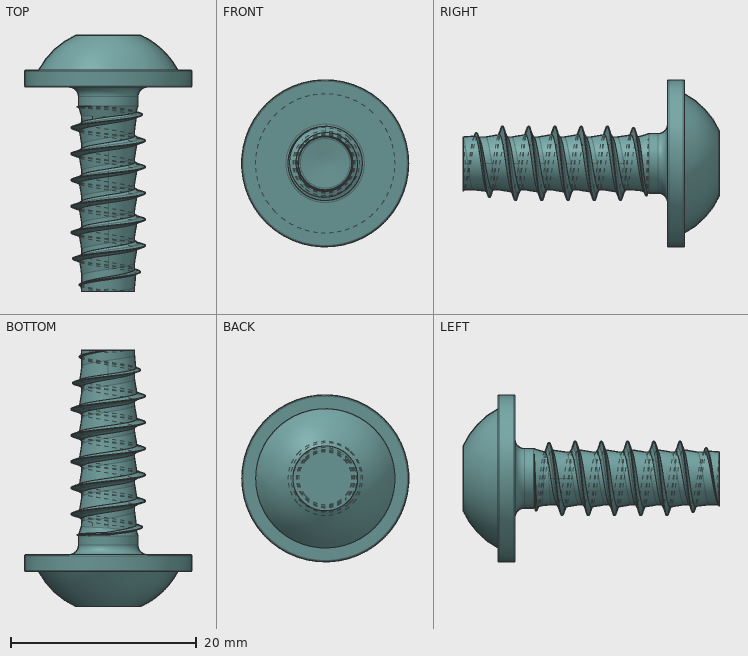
import math

import cadquery as cq


HEAD_HEIGHT = 5.6
FLANGE_RADIUS = 9.0
FLANGE_THICKNESS = 1.85
FLANGE_EDGE_ROUND = 0.15
DOME_SPHERE_RADIUS = 8.5
DOME_BASE_RADIUS = 7.5

SHANK_LENGTH = 22.0
NECK_RADIUS = 3.22
NECK_END_DEPTH = 2.0
NECK_FILLET = 1.0
CORE_RADIUS = 2.85
CORE_START_DEPTH = 3.2

DIMPLE_RADIUS = 2.67
DIMPLE_DEPTH = 0.25

PITCH = 2.825
CREST_RADIUS = 4.0
CREST_WIDTH = 0.08
HEAD_FLANK_KNEE_RADIUS = 3.3
HEAD_FLANK_KNEE_OFFSET = 0.24
HEAD_FLANK_ROOT_OFFSET = 0.54
TIP_FLANK_FOOT_RADIUS = 3.1
TIP_FLANK_FOOT_OFFSET = 0.34
ROOT_TAPER_END_OFFSET = 2.14
ROOT_EMBED = 0.05

THREAD_START_DEPTH = 2.23
RAMP_UP_TURNS = 0.75
RAMP_DOWN_TURNS = 1.5
THREAD_TURNS = (SHANK_LENGTH - THREAD_START_DEPTH) / PITCH
START_HEIGHT = 0.6
END_HEIGHT = 0.1

RUN_IN_TURNS = 0.4
RUN_IN_HEIGHT = 0.35
RUN_IN_DEPTH = NECK_END_DEPTH + CREST_WIDTH / 2

RAIL_POINTS_PER_TURN = 24
MIN_RAIL_STEPS = 4


def make_blank():
    """Head, flange, neck and plain core as one revolved body."""
    dome_center = FLANGE_THICKNESS - math.sqrt(DOME_SPHERE_RADIUS**2 - DOME_BASE_RADIUS**2)

    def dome_radius(height):
        return math.sqrt(DOME_SPHERE_RADIUS**2 - (height - dome_center) ** 2)

    dome_middle_height = (HEAD_HEIGHT + FLANGE_THICKNESS) / 2
    dome_middle = (dome_radius(dome_middle_height), dome_middle_height)
    edge = FLANGE_EDGE_ROUND
    fillet_middle = NECK_FILLET * (1 - math.sqrt(0.5))

    outline = (
        cq.Workplane("XY")
        .moveTo(0, HEAD_HEIGHT)
        .lineTo(dome_radius(HEAD_HEIGHT), HEAD_HEIGHT)
        .threePointArc(dome_middle, (DOME_BASE_RADIUS, FLANGE_THICKNESS))
        .lineTo(FLANGE_RADIUS - edge, FLANGE_THICKNESS)
        .tangentArcPoint((edge, -edge))
        .lineTo(FLANGE_RADIUS, edge)
        .tangentArcPoint((-edge, -edge))
        .lineTo(NECK_RADIUS + NECK_FILLET, 0)
        .threePointArc((NECK_RADIUS + fillet_middle, -fillet_middle), (NECK_RADIUS, -NECK_FILLET))
        .lineTo(NECK_RADIUS, -NECK_END_DEPTH)
        .lineTo(CORE_RADIUS, -CORE_START_DEPTH)
        .lineTo(CORE_RADIUS, -SHANK_LENGTH)
        .lineTo(DIMPLE_RADIUS, -SHANK_LENGTH)
        .lineTo(0, DIMPLE_DEPTH - SHANK_LENGTH)
        .close()
    )
    return outline.revolve(360, (0, 0, 0), (0, 1, 0))


def thread_depth(turn):
    """Depth of the crest below the flange, on the helix or on the flatter run-in before it."""
    if turn < 0:
        return THREAD_START_DEPTH + (THREAD_START_DEPTH - RUN_IN_DEPTH) * turn / RUN_IN_TURNS
    return THREAD_START_DEPTH + PITCH * turn


def thread_height(turn):
    """Height of the thread as a share of its full height."""
    if turn < 0:
        return START_HEIGHT + (START_HEIGHT - RUN_IN_HEIGHT) * turn / RUN_IN_TURNS
    rising = START_HEIGHT + (1 - START_HEIGHT) * turn / RAMP_UP_TURNS
    falling = END_HEIGHT + (1 - END_HEIGHT) * (THREAD_TURNS - turn) / RAMP_DOWN_TURNS
    return min(1, rising, falling)


def thread_section(height):
    """Closed thread section as (offset toward the tip, radius) corners, scaled to a height share."""

    def raised(radius):
        return CORE_RADIUS + (radius - CORE_RADIUS) * height

    inner_radius = CORE_RADIUS - ROOT_EMBED
    return [
        (-HEAD_FLANK_ROOT_OFFSET * height, inner_radius),
        (-HEAD_FLANK_KNEE_OFFSET * height, raised(HEAD_FLANK_KNEE_RADIUS)),
        (-CREST_WIDTH / 2 * height, raised(CREST_RADIUS)),
        (CREST_WIDTH / 2 * height, raised(CREST_RADIUS)),
        (TIP_FLANK_FOOT_OFFSET * height, raised(TIP_FLANK_FOOT_RADIUS)),
        (ROOT_TAPER_END_OFFSET, inner_radius),
    ]


def section_points(turn):
    """Corners of the thread section in space; turn 0 is on -Z, a quarter turn later is +X."""
    angle = 2 * math.pi * turn
    return [
        cq.Vector(radius * math.sin(angle), -thread_depth(turn) - offset, -radius * math.cos(angle))
        for offset, radius in thread_section(thread_height(turn))
    ]


def make_thread_piece(first_turn, last_turn):
    """Solid stretch of thread, skinned along the paths of its section corners."""
    steps = max(MIN_RAIL_STEPS, round((last_turn - first_turn) * RAIL_POINTS_PER_TURN))
    turns = [first_turn + (last_turn - first_turn) * step / steps for step in range(steps + 1)]
    sections = [section_points(turn) for turn in turns]
    rails = [cq.Edge.makeSpline(list(path), parameters=turns) for path in zip(*sections)]

    faces = [cq.Face.makeRuledSurface(rails[i - 1], rails[i]) for i in range(len(rails))]
    for end_section in (sections[0], sections[-1]):
        faces.append(cq.Face.makeFromWires(cq.Wire.makePolygon(end_section, close=True)))
    return cq.Solid.makeSolid(cq.Shell.makeShell(faces))


def make_tip_trim():
    """Disc that removes thread running past the tip."""
    return cq.Workplane("XZ", origin=(0, -SHANK_LENGTH, 0)).circle(FLANGE_RADIUS).extrude(PITCH)


def split_into_turns(first_turn, last_turn):
    """Pieces of one turn each, counted back from the end, with any remainder coming first."""
    full_turns = math.ceil(last_turn - first_turn) - 1
    joints = [last_turn - turns_back for turns_back in range(full_turns, -1, -1)]
    return list(zip([first_turn] + joints, joints))


def make_screw():
    """Blank with the thread added piece by piece and trimmed at the tip."""
    screw = make_blank()
    stops = [-RUN_IN_TURNS, 0, RAMP_UP_TURNS, THREAD_TURNS - RAMP_DOWN_TURNS, THREAD_TURNS]
    for stretch in zip(stops, stops[1:]):
        for piece in split_into_turns(*stretch):
            screw = screw.union(cq.Workplane(make_thread_piece(*piece)))
    return screw.cut(make_tip_trim())


result = cq.Workplane(make_screw().solids().val())